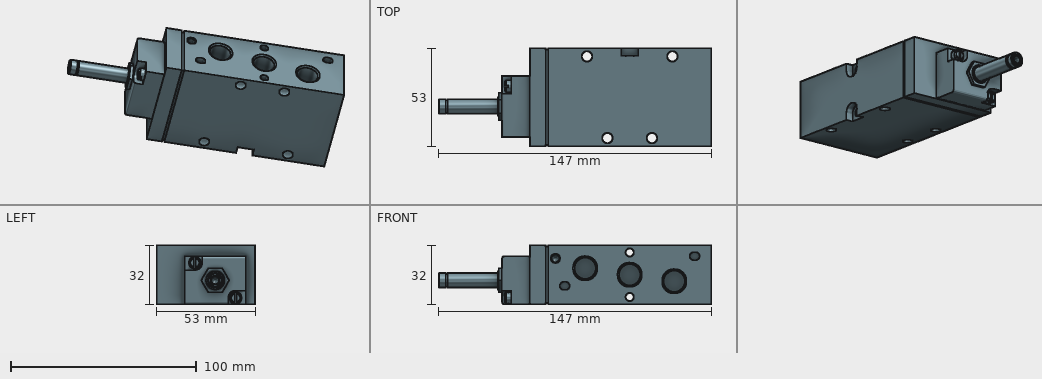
import math

import cadquery as cq


BODY_LENGTH = 88.0
WIDTH = 53.0
HEIGHT = 32.0
TOTAL_LENGTH = 147.0
BODY_START = TOTAL_LENGTH - BODY_LENGTH
BODY_CENTRE_X = BODY_START + BODY_LENGTH / 2
MID_Z = HEIGHT / 2
GASKET_THICKNESS = 1.3
GASKET_INSET = 0.7
CAP_START = 49.2
CAP_LENGTH = BODY_START - GASKET_THICKNESS - CAP_START

PORT_DIAMETER = 11.45
PORT_MOUTH_DIAMETER = 13.2
PORT_DEPTH = 12.0
PORT_PITCH = 24.0
PORT_STEP_Z = 3.5

THREAD_CORE_DIAMETER = 4.13
THREAD_MOUTH_DIAMETER = 5.0
THREAD_DEPTH = 8.0
DRILL_POINT_ANGLE = 118.0
PILOT_PORT_OFFSET_X = -40.0
PILOT_PORT_OFFSET_Z = 8.8

SLOT_WIDTH = 4.3
SLOT_LENGTH = 5.3
SLOT_DEPTH = 5.0
SLOT_OFFSET_X = 35.0
LEFT_SLOT_OFFSET_Z = -6.0
RIGHT_SLOT_OFFSET_Z = 10.0

CROSS_HOLE_DIAMETER = 4.3
CROSS_HOLE_OFFSET_Z = 12.0
RECESS_WIDTH = 9.0
RECESS_DEPTH = 4.2

MOUNT_HOLE_DIAMETER = 5.5
MOUNT_ROW_Y = 22.0
BACK_PAIR_OFFSET_X = 23.0
FRONT_PAIR_OFFSET_X = 12.0

HEAD_START = 34.2
HEAD_LENGTH = CAP_START - HEAD_START
HEAD_WIDTH = 33.0
HEAD_HEIGHT = 26.0
AXIS_Y = -5.0
AXIS_Z = HEAD_HEIGHT / 2
FRONT_EDGE_RADIUS = 1.4
REAR_EDGE_RADIUS = 0.7

SCREW_OFFSET_Y = 11.0
SCREW_OFFSET_Z = 9.5
POCKET_RADIUS = 4.0
POCKET_DEPTH = 5.0
SCREW_HEAD_DIAMETER = 6.4
SCREW_HEAD_LENGTH = 3.5
SCREW_EDGE_CHAMFER = 0.8
DRIVER_SLOT_WIDTH = 1.0
DRIVER_SLOT_DEPTH = 1.8

NUT_ACROSS_FLATS = 13.0
NUT_THICKNESS = 1.8
NUT_FACE_DIAMETER = 10.0
NUT_FACE_THICKNESS = 0.4
TUBE_DIAMETER = 8.0
TUBE_TIP_CHAMFER = 0.5
GROOVE_DIAMETER = 7.0
GROOVE_START = 4.0
GROOVE_WIDTH = 0.9


def block(start_x, length, width, height, centre_y, bottom_z):
    """Box from start_x along +X, centred across on centre_y."""
    box = cq.Workplane("XY").box(length, width, height, centered=(False, True, False))
    return box.translate((start_x, centre_y, bottom_z))


def rod_along_x(diameter, start_x, length, centre_y=AXIS_Y, centre_z=AXIS_Z):
    """Cylinder whose axis runs along +X."""
    plane = cq.Workplane("YZ", origin=(start_x, centre_y, centre_z))
    return plane.circle(diameter / 2).extrude(length)


def bore_tool(diameter, mouth_diameter, depth, point_depth, origin, direction):
    """Revolved cutter: 45 degree mouth chamfer, bore and conical drill point."""
    radius = diameter / 2
    mouth_radius = mouth_diameter / 2
    mouth_depth = mouth_radius - radius
    profile = cq.Workplane("XY").polyline(
        [
            (0, 0),
            (mouth_radius, 0),
            (radius, mouth_depth),
            (radius, depth),
            (0, depth + point_depth),
        ]
    ).close()
    tool = profile.revolve(360, (0, 0, 0), (0, 1, 0))
    if direction == "X":
        tool = tool.rotate((0, 0, 0), (0, 0, 1), -90)
    return tool.translate(origin)


def threaded_hole_tool(origin, direction):
    """Cutter for a tapped hole drilled to its core diameter."""
    half_point_angle = math.radians(DRILL_POINT_ANGLE / 2)
    point_depth = THREAD_CORE_DIAMETER / 2 / math.tan(half_point_angle)
    return bore_tool(
        THREAD_CORE_DIAMETER, THREAD_MOUTH_DIAMETER, THREAD_DEPTH, point_depth, origin, direction
    )


def make_body():
    body = block(BODY_START, BODY_LENGTH, WIDTH, HEIGHT, 0, 0)
    body = cut_ports(body)
    body = cut_locating_slots(body)
    body = cut_cross_holes(body)
    return cut_mounting_holes(body)


def cut_ports(body):
    for step in (-1, 0, 1):
        origin = (
            BODY_CENTRE_X + step * PORT_PITCH,
            -WIDTH / 2,
            MID_Z - step * PORT_STEP_Z,
        )
        body = body.cut(bore_tool(PORT_DIAMETER, PORT_MOUTH_DIAMETER, PORT_DEPTH, 0, origin, "Y"))
    pilot_origin = (
        BODY_CENTRE_X + PILOT_PORT_OFFSET_X,
        -WIDTH / 2,
        MID_Z + PILOT_PORT_OFFSET_Z,
    )
    return body.cut(threaded_hole_tool(pilot_origin, "Y"))


def cut_locating_slots(body):
    centres = [(-SLOT_OFFSET_X, LEFT_SLOT_OFFSET_Z), (SLOT_OFFSET_X, RIGHT_SLOT_OFFSET_Z)]
    face = cq.Workplane("XZ", origin=(BODY_CENTRE_X, -WIDTH / 2, MID_Z))
    return body.cut(face.pushPoints(centres).slot2D(SLOT_LENGTH, SLOT_WIDTH).extrude(-SLOT_DEPTH))


def cut_cross_holes(body):
    """Through holes, each with a round-ended recess open to the nearer of top and bottom."""
    edge_distance = MID_Z - CROSS_HOLE_OFFSET_Z
    for side in (-1, 1):
        hole_z = MID_Z + side * CROSS_HOLE_OFFSET_Z
        face = cq.Workplane("XZ", origin=(BODY_CENTRE_X, WIDTH / 2, hole_z))
        hole = face.circle(CROSS_HOLE_DIAMETER / 2).extrude(WIDTH)
        recess_end = face.circle(RECESS_WIDTH / 2).extrude(RECESS_DEPTH)
        opening = face.center(0, side * edge_distance / 2).rect(RECESS_WIDTH, edge_distance)
        body = body.cut(hole).cut(recess_end).cut(opening.extrude(RECESS_DEPTH))
    return body


def cut_mounting_holes(body):
    centres = []
    for side in (-1, 1):
        centres.append((side * BACK_PAIR_OFFSET_X, MOUNT_ROW_Y))
        centres.append((side * FRONT_PAIR_OFFSET_X, -MOUNT_ROW_Y))
    plane = cq.Workplane("XY", origin=(BODY_CENTRE_X, 0, 0)).pushPoints(centres)
    return body.cut(plane.circle(MOUNT_HOLE_DIAMETER / 2).extrude(HEIGHT))


def make_gasket():
    return block(
        BODY_START - GASKET_THICKNESS,
        GASKET_THICKNESS,
        WIDTH - 2 * GASKET_INSET,
        HEIGHT - 2 * GASKET_INSET,
        0,
        GASKET_INSET,
    )


def make_pilot_head():
    """Head block with rounded top and bottom edges and a screw in two corners."""
    head = block(HEAD_START, HEAD_LENGTH, HEAD_WIDTH, HEAD_HEIGHT, AXIS_Y, 0)
    head = head.faces("<X").edges("|Y").fillet(FRONT_EDGE_RADIUS)
    head = head.faces(">X").edges("|Y").fillet(REAR_EDGE_RADIUS)
    for side in (-1, 1):
        head = head.cut(corner_pocket_tool(side)).union(make_screw(side))
    return head


def corner_pocket_tool(side):
    """Pocket open at the corner, its inner corner rounded about the screw axis."""
    reach_y = HEAD_WIDTH / 2 - SCREW_OFFSET_Y + POCKET_RADIUS
    reach_z = HEAD_HEIGHT / 2 - SCREW_OFFSET_Z + POCKET_RADIUS
    tool = block(HEAD_START, POCKET_DEPTH, reach_y, reach_z, 0, -reach_z / 2)
    tool = tool.edges("|X and %sY and %sZ" % (("<", "<") if side > 0 else (">", ">")))
    tool = tool.fillet(POCKET_RADIUS)
    corner_y = AXIS_Y + side * (HEAD_WIDTH - reach_y) / 2
    corner_z = AXIS_Z + side * (HEAD_HEIGHT - reach_z) / 2
    return tool.translate((0, corner_y, corner_z))


def make_screw(side):
    """Chamfered cylindrical screw head with an upright driver slot."""
    centre_y = AXIS_Y + side * SCREW_OFFSET_Y
    centre_z = AXIS_Z + side * SCREW_OFFSET_Z
    front_x = HEAD_START + POCKET_DEPTH - SCREW_HEAD_LENGTH
    screw = rod_along_x(SCREW_HEAD_DIAMETER, front_x, SCREW_HEAD_LENGTH, centre_y, centre_z)
    screw = screw.faces("<X").chamfer(SCREW_EDGE_CHAMFER)
    driver_slot = block(
        front_x,
        DRIVER_SLOT_DEPTH,
        DRIVER_SLOT_WIDTH,
        SCREW_HEAD_DIAMETER,
        centre_y,
        centre_z - SCREW_HEAD_DIAMETER / 2,
    )
    return screw.cut(driver_slot)


def make_nut():
    """Hexagon nut with flats facing up and down and a round raised face."""
    across_corners = NUT_ACROSS_FLATS / math.cos(math.pi / 6)
    nut_x = HEAD_START - NUT_THICKNESS
    plane = cq.Workplane("YZ", origin=(nut_x, AXIS_Y, AXIS_Z))
    hexagon = plane.polygon(6, across_corners).extrude(NUT_THICKNESS)
    return hexagon.union(rod_along_x(NUT_FACE_DIAMETER, nut_x - NUT_FACE_THICKNESS, NUT_FACE_THICKNESS))


def make_tube():
    """Armature tube with a retaining groove and a tapped hole in its tip."""
    tube = rod_along_x(TUBE_DIAMETER, 0, HEAD_START)
    tube = tube.faces("<X").chamfer(TUBE_TIP_CHAMFER)
    groove = rod_along_x(TUBE_DIAMETER, GROOVE_START, GROOVE_WIDTH).cut(
        rod_along_x(GROOVE_DIAMETER, GROOVE_START, GROOVE_WIDTH)
    )
    return tube.cut(groove).cut(threaded_hole_tool((0, AXIS_Y, AXIS_Z), "X"))


end_cap = block(CAP_START, CAP_LENGTH, WIDTH, HEIGHT, 0, 0)

result = make_body()
for piece in (make_gasket(), end_cap, make_pilot_head(), make_nut(), make_tube()):
    result = result.union(piece)